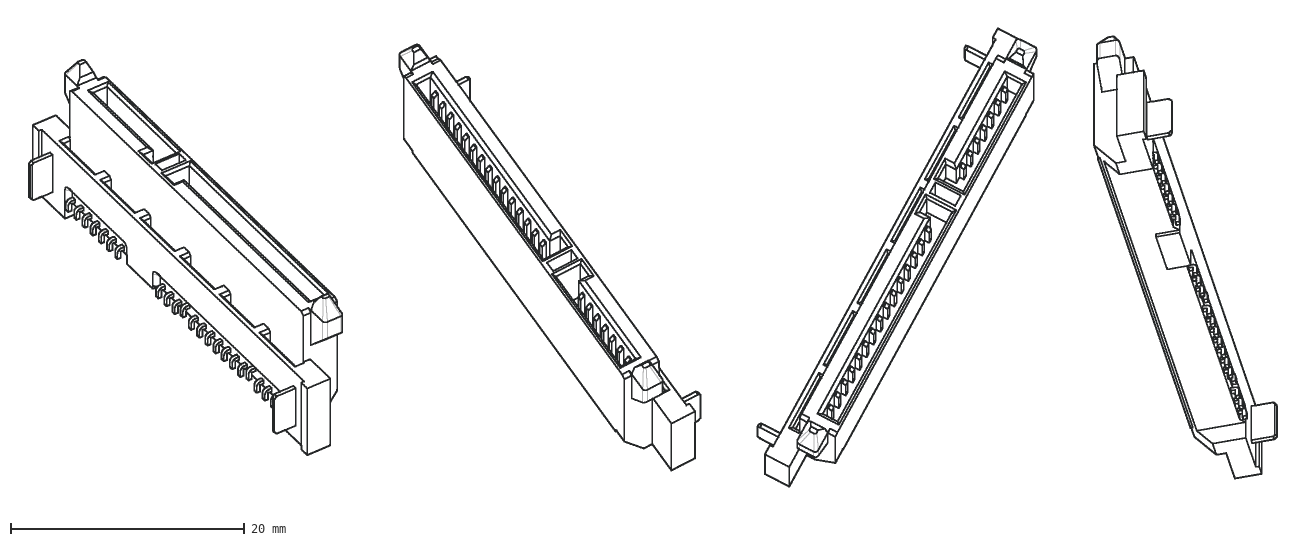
import cadquery as cq


body_half_width = 18.12
body_depth = 3.5
body_top = 12.85
body_bottom = 1.9
rear_ledge_height = 2.4
rear_slope_top = 2.7
rear_slope_depth = 1.95
end_chamfer_width = 0.4
end_chamfer_height = 0.25

flange_half_width = 21.25
flange_back = -2.8
end_rib_front = -5.2
plate_front = -4.9
flange_top = 7.45
end_rib_width = 0.95

foot_inner_x = 16.7
tab_left = -7.15
tab_right = -3.1
tab_bottom = 1.57
recess_top = 3.75
recess_taper = 0.45
recess_depth = 0.43
recess_corner = 0.05

relief_half_width = 18.25
relief_front = -4.45
relief_floor = 4.7
relief_count = 6
relief_rib_pitch = 6.15
relief_rib_width = 0.8

lead_in = 0.25
contact_lead_in = 0.4
socket_back = -0.2
socket_front = -2.3
key_front = -3.2
socket_end = 17.1
signal_key_x = -7.9
signal_inner_x = -5.85
power_key_x = -2.4
power_inner_x = -4.35
socket_floor = flange_top
key_pocket_left = -5.65
key_pocket_right = -4.65

pin_width = 0.4
signal_first_x = -15.95
signal_count = 7
power_first_x = -2.0
power_last_x = 15.8
power_count = 15
pitch = (power_last_x - power_first_x) / (power_count - 1)
raised_pins = (3, 11)
raised_offset = 0.5
tail_top = 2.6
tail_bottom = 1.55
tail_thickness = 0.35
tail_bend = 0.43
tail_root = -4.05
contact_depth = 0.43
contact_bevel = 0.35
contact_setback = 1.28
contact_top = body_top - contact_setback

latch_outer_x = 20.2
latch_inner_x = body_half_width - end_chamfer_width
latch_back = -0.72
latch_front = -2.72
latch_shoulder = 10.98
latch_underside_end = 8.98
latch_corner = 0.3
tip_centre_x = 18.91
tip_width = 0.43
tip_depth = 0.7
tip_corner = 0.15
tip_height = 14.5

blade_x = 18.85
blade_thickness = 0.4
blade_front = -7.1
blade_bottom = 1.6
blade_top = 5.8
blade_tip_chamfer = 0.25
blade_side_chamfer = 0.13


def box(x_range, y_range, z_range):
    """Axis-aligned block between pairs of coordinates."""
    (x0, x1), (y0, y1), (z0, z1) = x_range, y_range, z_range
    return cq.Workplane("XY").box(x1 - x0, y1 - y0, z1 - z0, centered=False).translate((x0, y0, z0))


def side_prism(points, x_start, x_end):
    """Extrude a (Y, Z) outline along X."""
    return cq.Workplane("YZ", origin=(x_start, 0, 0)).polyline(points).close().extrude(x_end - x_start)


def both_ends(shape):
    """The shape together with its mirror image at the other X end."""
    return shape.union(shape.mirror("YZ"))


def rounded_loft(base, near, far, distance, corners=None):
    """Straight loft between two rectangles given as (u limits, v limits, fillet radius).

    `corners` selects the corners to fillet; all are filleted when it is left out.
    """
    sections = []
    for (u_range, v_range, radius), height in ((near, 0), (far, distance)):
        sketch = cq.Sketch().rect(u_range[1] - u_range[0], v_range[1] - v_range[0])
        sketch = sketch.vertices(corners).fillet(radius)
        centre = cq.Vector(sum(u_range) / 2, sum(v_range) / 2, height)
        sections.append(sketch.moved(cq.Location(centre)))
    return base.placeSketch(*sections).loft(ruled=True)


def make_body():
    """Socket body with a sloped foot at each end and bevelled upper ends."""
    slope = rear_slope_top / rear_slope_depth
    foot = side_prism(
        [
            (0, body_top),
            (0, rear_slope_top),
            (-rear_slope_depth, 0),
            (-body_depth, 0),
            (-body_depth, body_top),
        ],
        foot_inner_x,
        body_half_width,
    )
    core = side_prism(
        [
            (0, body_top),
            (0, rear_ledge_height),
            (-(rear_slope_top - rear_ledge_height) / slope, rear_ledge_height),
            (-(rear_slope_top - body_bottom) / slope, body_bottom),
            (-body_depth, body_bottom),
            (-body_depth, body_top),
        ],
        -foot_inner_x,
        foot_inner_x,
    )
    body = core.union(both_ends(foot))
    end_bevel = (
        cq.Workplane("XZ")
        .polyline(
            [
                (body_half_width - end_chamfer_width, body_top),
                (body_half_width, body_top),
                (body_half_width, body_top - end_chamfer_height),
            ]
        )
        .close()
        .extrude(body_depth)
    )
    return body.cut(both_ends(end_bevel))


def make_flange():
    """Flange plate with thicker ends, cut back below between the feet and the middle tab."""
    plate_half_width = flange_half_width - end_rib_width
    plate = box((-plate_half_width, plate_half_width), (plate_front, flange_back), (0, flange_top))
    end_rib = box((plate_half_width, flange_half_width), (end_rib_front, flange_back), (0, flange_top))
    flange = plate.union(both_ends(end_rib))
    for left, right, bottom in (
        (-foot_inner_x, tab_left, body_bottom),
        (tab_left, tab_right, tab_bottom),
        (tab_right, foot_inner_x, body_bottom),
    ):
        flange = flange.cut(box((left, right), (end_rib_front, flange_back), (0, bottom)))
    return flange


def tail_recess(left, right):
    """Shallow recess in the plate front, tapering inwards and open at the bottom."""
    below = body_bottom / 2
    base = cq.Workplane("XZ", origin=(0, plate_front + recess_depth, 0))
    inner = (
        (left + recess_taper, right - recess_taper),
        (below, recess_top - recess_taper),
        recess_corner,
    )
    outer = (
        (left, right),
        (below - recess_taper, recess_top),
        recess_corner + recess_taper,
    )
    return rounded_loft(base, inner, outer, recess_depth)


def lead_in_pocket(mouth, throat, top, floor):
    """Straight-walled pocket whose top widens from the throat outline to the mouth outline."""
    shaft = cq.Workplane("XY", origin=(0, 0, floor)).polyline(throat).close().extrude(top - floor)
    funnel = cq.Workplane("XY", origin=(0, 0, top - lead_in)).polyline(throat).close()
    funnel = funnel.workplane(offset=lead_in).polyline(mouth).close().loft(ruled=True)
    return shaft.union(funnel)


def relief_outline(left, right, inset):
    """Rectangular (X, Y) outline against the body front, narrowed on its three other sides."""
    return [
        (left + inset, -body_depth),
        (right - inset, -body_depth),
        (right - inset, relief_front + inset),
        (left + inset, relief_front + inset),
    ]


def relief_pocket(index):
    """One of the row of pockets between body and plate; the outermost two reach a little further."""
    left = (index - relief_count / 2) * relief_rib_pitch + relief_rib_width / 2
    right = left + relief_rib_pitch - relief_rib_width
    if index == 0:
        left = -relief_half_width
    if index == relief_count - 1:
        right = relief_half_width
    mouth = relief_outline(left, right, 0)
    throat = relief_outline(left, right, lead_in)
    return lead_in_pocket(mouth, throat, flange_top, relief_floor)


def socket_outline(end_x, key_x, inner_x, inset, contact_inset):
    """L-shaped (X, Y) outline, narrowed by `inset`, or `contact_inset` on the contact walls."""
    toward_centre = 1 if inner_x > end_x else -1
    end = end_x + toward_centre * inset
    key = key_x + toward_centre * contact_inset
    inner = inner_x - toward_centre * inset
    return [
        (end, socket_back - inset),
        (inner, socket_back - inset),
        (inner, key_front + inset),
        (key, key_front + inset),
        (key, socket_front + contact_inset),
        (end, socket_front + contact_inset),
    ]


def socket(end_x, key_x, inner_x):
    """Keyed socket with a sloped lead-in around its mouth."""
    mouth = socket_outline(end_x, key_x, inner_x, 0, 0)
    throat = socket_outline(end_x, key_x, inner_x, lead_in, contact_lead_in)
    return lead_in_pocket(mouth, throat, body_top, socket_floor)


def key_pocket():
    """Plain pocket in the web between the two sockets."""
    return box(
        (key_pocket_left, key_pocket_right),
        (key_front + lead_in, socket_back - lead_in),
        (socket_floor, body_top),
    )


def solder_tail(x, offset):
    """Tail leaving the recess and bending down in front of the plate."""
    bar_bottom = tail_top - tail_thickness
    leg_back = end_rib_front + tail_thickness
    profile = [
        (tail_root, tail_top),
        (end_rib_front, tail_top),
        (end_rib_front, tail_bottom),
        (leg_back, tail_bottom),
        (leg_back, bar_bottom),
        (tail_root, bar_bottom),
    ]
    tail = side_prism(profile, x - pin_width / 2, x + pin_width / 2)
    tail = tail.edges("|X and >Z and <Y").fillet(tail_bend)
    return tail.translate((0, 0, offset))


def contact(x):
    """Contact blade on the front wall of a socket, with a sloped tip."""
    wall = socket_front + contact_lead_in
    blade = box(
        (x - pin_width / 2, x + pin_width / 2),
        (wall, wall + contact_depth),
        (socket_floor, contact_top),
    )
    return blade.faces(">Z").edges(">Y").chamfer(contact_bevel)


def guide_latch():
    """Hooked latch with a pyramid tip on the +X end of the body."""
    footprint = ((latch_inner_x, latch_outer_x), (latch_front, latch_back))
    hook = box(*footprint, (latch_underside_end, body_top))
    hook = hook.edges("|Z and >X").fillet(latch_corner)
    underside = (
        cq.Workplane("XZ")
        .polyline(
            [
                (body_half_width, latch_underside_end),
                (latch_outer_x, latch_underside_end),
                (latch_outer_x, latch_shoulder),
            ]
        )
        .close()
        .extrude(body_depth)
    )
    tip_y = (latch_front + latch_back) / 2
    pyramid_base = (
        (2 * tip_centre_x - latch_outer_x, latch_outer_x),
        (latch_front, latch_back),
        latch_corner,
    )
    pyramid_tip = (
        (tip_centre_x - tip_width / 2, tip_centre_x + tip_width / 2),
        (tip_y - tip_depth / 2, tip_y + tip_depth / 2),
        tip_corner,
    )
    base = cq.Workplane("XY", origin=(0, 0, body_top))
    tip = rounded_loft(base, pyramid_base, pyramid_tip, tip_height - body_top, corners=">X")
    tip = tip.intersect(
        box((body_half_width, latch_outer_x), (latch_front, latch_back), (body_top, tip_height))
    )
    return hook.cut(underside).union(tip)


def hold_down_blade():
    """Upright blade on the +X end of the plate, chamfered at its front edge."""
    blade = box(
        (blade_x - blade_thickness / 2, blade_x + blade_thickness / 2),
        (blade_front, plate_front),
        (blade_bottom, blade_top),
    )
    blade = blade.faces("<Y").edges("|X").chamfer(blade_tip_chamfer)
    return blade.faces("<Y").edges("<X").chamfer(blade_side_chamfer)


result = make_body().union(make_flange())
result = result.cut(tail_recess(-foot_inner_x, tab_left))
result = result.cut(tail_recess(tab_right, foot_inner_x))
for index in range(relief_count):
    result = result.cut(relief_pocket(index))
result = result.cut(socket(-socket_end, signal_key_x, signal_inner_x))
result = result.cut(socket(socket_end, power_key_x, power_inner_x))
result = result.cut(key_pocket())
result = result.union(both_ends(guide_latch()))
result = result.union(both_ends(hold_down_blade()))

signal_pins = [(signal_first_x + index * pitch, 0) for index in range(signal_count)]
power_pins = [
    (power_first_x + index * pitch, raised_offset if index in raised_pins else 0)
    for index in range(power_count)
]
for pin_x, pin_raise in signal_pins + power_pins:
    result = result.union(contact(pin_x)).union(solder_tail(pin_x, pin_raise))